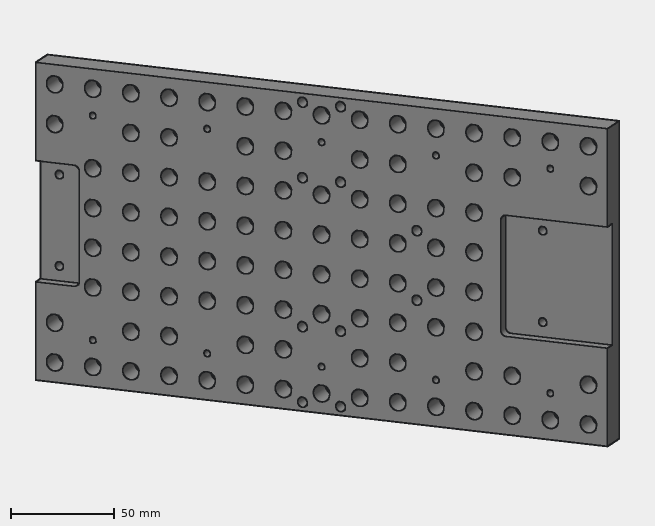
import cadquery as cq

LENGTH = 300.0
THICKNESS = 15.0
HEIGHT = 160.0
FRONT_Y = -THICKNESS / 2

PITCH = 20.0
COLUMNS = 15
ROWS = 8
GRID_DIAMETER = 8.5

SMALL_DIAMETER = 3.3
SMALL_COLUMN_STEP = 3
SMALL_Z = 56.5

PIN_DIAMETER = 5.0
PIN_PAIR_X = PITCH / 2
PIN_PAIR_Z_INNER = 37.5
PIN_PAIR_Z_OUTER = 75.5
SIDE_PIN_X = 2.5 * PITCH
SIDE_PIN_Z = 17.5

POCKET_DEPTH = 6.0
POCKET_HEIGHT = 61.0
POCKET_CORNER_RADIUS = 3.0
LEFT_POCKET_LENGTH = 23.0
RIGHT_POCKET_LENGTH = 56.0

SCREW_DIAMETER = 4.2
SCREW_Z = 23.0
LEFT_SCREW_X = -(COLUMNS - 1) / 2 * PITCH
RIGHT_SCREW_X = 113.5

COLUMN_XS = [(column - (COLUMNS - 1) / 2) * PITCH for column in range(COLUMNS)]
ROW_ZS = [(row - (ROWS - 1) / 2) * PITCH for row in range(ROWS)]
SMALL_XS = COLUMN_XS[1::SMALL_COLUMN_STEP]


def in_a_pocket(x, z):
    """True where a grid hole would overlap one of the end pockets."""
    hole_radius = GRID_DIAMETER / 2
    beside_left = x - hole_radius < -LENGTH / 2 + LEFT_POCKET_LENGTH
    beside_right = x + hole_radius > LENGTH / 2 - RIGHT_POCKET_LENGTH
    return abs(z) < POCKET_HEIGHT / 2 and (beside_left or beside_right)


def grid_points():
    """Grid positions left over beside the pockets and the small holes."""
    small_hole_rows = (ROW_ZS[1], ROW_ZS[-2])
    points = []
    for x in COLUMN_XS:
        for z in ROW_ZS:
            taken_by_small_hole = z in small_hole_rows and x in SMALL_XS
            if not taken_by_small_hole and not in_a_pocket(x, z):
                points.append((x, z))
    return points


def mirrored_in_z(xs, z):
    """Points at each x, at heights z and -z."""
    return [(x, side * z) for x in xs for side in (-1, 1)]


def through_holes(points, diameter):
    """Cylinders along Y through the whole plate at the given (x, z) points."""
    plane = cq.Workplane("XZ", origin=(0, FRONT_Y, 0))
    return plane.pushPoints(points).circle(diameter / 2).extrude(-THICKNESS)


def end_pocket(end, length):
    """Pocket cutter at the -X end (end = -1) or the +X end (end = 1)."""
    inner_side = "<X" if end > 0 else ">X"
    center_x = end * (LENGTH - length) / 2
    center_y = FRONT_Y + POCKET_DEPTH / 2
    block = cq.Workplane("XY").box(length, POCKET_DEPTH, POCKET_HEIGHT)
    rounded = block.faces(inner_side).edges("|Y").fillet(POCKET_CORNER_RADIUS)
    return rounded.translate((center_x, center_y, 0))


plate = cq.Workplane("XY").box(LENGTH, THICKNESS, HEIGHT)

plate = plate.cut(end_pocket(-1, LEFT_POCKET_LENGTH))
plate = plate.cut(end_pocket(1, RIGHT_POCKET_LENGTH))

pin_pair_xs = (-PIN_PAIR_X, PIN_PAIR_X)
pin_points = mirrored_in_z(pin_pair_xs, PIN_PAIR_Z_INNER)
pin_points += mirrored_in_z(pin_pair_xs, PIN_PAIR_Z_OUTER)
pin_points += mirrored_in_z([SIDE_PIN_X], SIDE_PIN_Z)

plate = plate.cut(through_holes(grid_points(), GRID_DIAMETER))
plate = plate.cut(through_holes(mirrored_in_z(SMALL_XS, SMALL_Z), SMALL_DIAMETER))
plate = plate.cut(through_holes(pin_points, PIN_DIAMETER))
plate = plate.cut(through_holes(mirrored_in_z([LEFT_SCREW_X, RIGHT_SCREW_X], SCREW_Z), SCREW_DIAMETER))

result = plate